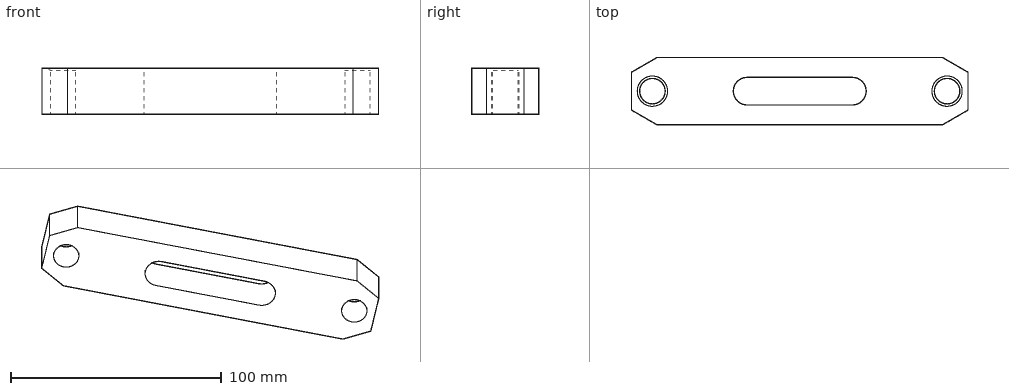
import cadquery as cq
import math

length = 160.0
width = 32.0
height = 22.0

end_face_width = 18.0
corner_angle = math.radians(30.0)
corner_depth = (width - end_face_width) / 2
corner_length = corner_depth / math.tan(corner_angle)

hole_diameter = 12.0
hole_end_distance = 10.0
hole_x = length / 2 - hole_end_distance
countersink_angle = 90.0
countersink_depth = 1.2
countersink_slope = math.tan(math.radians(countersink_angle / 2))
countersink_diameter = hole_diameter + 2 * countersink_depth * countersink_slope

slot_length = 63.0
slot_width = 13.0


def make_bar():
    """Long octagonal bar, centred on X and Y, standing on Z = 0."""
    end_x = length / 2
    side_y = width / 2
    shoulder_x = end_x - corner_length
    end_y = end_face_width / 2
    outline = [
        (end_x, -end_y),
        (end_x, end_y),
        (shoulder_x, side_y),
        (-shoulder_x, side_y),
        (-end_x, end_y),
        (-end_x, -end_y),
        (-shoulder_x, -side_y),
        (shoulder_x, -side_y),
    ]
    return cq.Workplane("XY").polyline(outline).close().extrude(height)


def cut_slot(body):
    """Cut the round-ended slot along X, through the full height."""
    return body.faces(">Z").workplane(origin=(0, 0, 0)).slot2D(slot_length, slot_width).cutThruAll()


def cut_end_holes(body):
    """Cut a through hole near each end, countersunk at the top."""
    return (
        body.faces(">Z")
        .workplane(origin=(0, 0, 0))
        .pushPoints([(-hole_x, 0), (hole_x, 0)])
        .cskHole(hole_diameter, countersink_diameter, countersink_angle)
    )


bar = make_bar()
slotted_bar = cut_slot(bar)
result = cut_end_holes(slotted_bar)